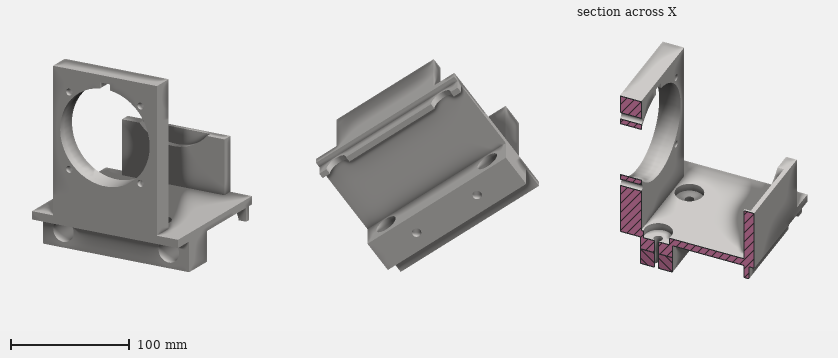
import cadquery as cq
import math


width = 142.0
depth = 125.0
height = 169.0
plate_thickness = 7.5
cap_height = 15.0
saddle_height = 12.5
clamp_front = 19.0
clamp_depth = 30.0
clamp_middle = clamp_front + clamp_depth / 2
plate_bottom = cap_height + saddle_height
plate_top = plate_bottom + plate_thickness

rod_diameter = 20.0
rod_spacing = 102.4
rod_splay_angle = 1.4

bolt_spacing = 62.0
bolt_diameter = 8.0
counterbore_diameter = 25.0
counterbore_depth = 7.0

motor_wall_width = 101.0
motor_wall_thickness = 20.0
bore_diameter = 87.0
bore_height = 113.5
keyway_width = 10.0
keyway_top = 162.2
screw_spacing = 69.3
screw_diameter = 6.0

rear_wall_width = 99.7
rear_wall_thickness = 10.0
rear_wall_height = 50.0
recess_depth = 5.9
rib_thickness = 5.0
rear_wall_front = depth - rear_wall_thickness


def block(size_x, front, size_y, bottom, size_z):
    """Box centred across the width, from its front face and its underside."""
    return cq.Workplane("XY").box(size_x, size_y, size_z, centered=(True, False, False)).translate(
        (0, front, bottom)
    )


def cylinder_along_y(diameter, x, front, z, length):
    return cq.Workplane(
        cq.Solid.makeCylinder(diameter / 2, length, cq.Vector(x, front, z), cq.Vector(0, 1, 0))
    )


def cylinder_along_z(diameter, x, y, bottom, length):
    return cq.Workplane(
        cq.Solid.makeCylinder(diameter / 2, length, cq.Vector(x, y, bottom), cq.Vector(0, 0, 1))
    )


def cut_rod_bores(body):
    """Cut both splayed rod bores through the clamp and the rear rib."""
    spread = math.tan(math.radians(rod_splay_angle))
    for side in (-1, 1):
        direction = cq.Vector(side * spread, 1, 0)
        clamp_point = cq.Vector(side * rod_spacing / 2, clamp_front, cap_height)
        start = clamp_point - direction * clamp_front
        rod = cq.Solid.makeCylinder(rod_diameter / 2, depth, start, direction)
        body = body.cut(cq.Workplane(rod))
    return body


def cut_bolt_holes(body):
    for side in (-1, 1):
        body = body.cut(cylinder_along_z(bolt_diameter, side * bolt_spacing / 2, clamp_middle, 0, plate_top))
    return body


def cut_counterbores(body):
    floor = plate_top - counterbore_depth
    for side in (-1, 1):
        x = side * bolt_spacing / 2
        body = body.cut(cylinder_along_z(counterbore_diameter, x, clamp_middle, floor, counterbore_depth))
    return body


def make_motor_wall():
    wall = block(motor_wall_width, 0, motor_wall_thickness, plate_top, height - plate_top)
    wall = wall.cut(cylinder_along_y(bore_diameter, 0, 0, bore_height, motor_wall_thickness))
    wall = wall.cut(block(keyway_width, 0, motor_wall_thickness, bore_height, keyway_top - bore_height))
    for side in (-1, 1):
        for level in (-1, 1):
            x = side * screw_spacing / 2
            z = bore_height + level * screw_spacing / 2
            wall = wall.cut(cylinder_along_y(screw_diameter, x, 0, z, motor_wall_thickness))
    return wall


def make_rear_wall():
    """Rear wall whose recess is coaxial with the motor bore and of the same diameter."""
    wall = block(rear_wall_width, rear_wall_front, rear_wall_thickness, plate_top, rear_wall_height)
    return wall.cut(cylinder_along_y(bore_diameter, 0, rear_wall_front, bore_height, recess_depth))


def make_bracket():
    plate = block(width, 0, depth, plate_bottom, plate_thickness)
    saddle = block(width, clamp_front, clamp_depth, cap_height, saddle_height)
    rib = block(width, rear_wall_front, rib_thickness, cap_height, saddle_height)
    body = plate.union(saddle).union(rib).union(make_motor_wall()).union(make_rear_wall())
    return cut_counterbores(cut_bolt_holes(cut_rod_bores(body)))


def make_clamp_cap():
    cap = block(width, clamp_front, clamp_depth, 0, cap_height)
    return cut_bolt_holes(cut_rod_bores(cap))


bracket = make_bracket()
clamp_cap = make_clamp_cap()
result = cq.Compound.makeCompound([bracket.solids().val(), clamp_cap.solids().val()])